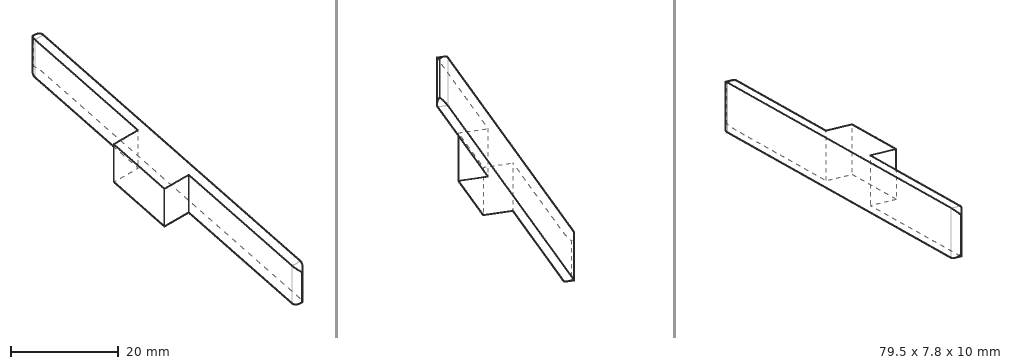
import cadquery as cq
import math

flat_length = 76.0
plate_thickness = 2.0
height = 10.0
end_radius = 2.0
block_width = 15.0
block_depth = 5.8

half_flat = flat_length / 2
half_thickness = plate_thickness / 2
end_drop = half_thickness
end_length = math.sqrt(end_radius**2 - (end_radius - end_drop)**2)
half_length = half_flat + end_length


def tapered_profile(plane, half_width):
    """Closed plate outline whose long sides curve inward at both ends."""
    half_tip = half_width - end_drop
    arc_centre = half_width - end_radius
    half_sweep = math.asin(end_length / end_radius) / 2
    mid_x = half_flat + end_radius * math.sin(half_sweep)
    mid_offset = arc_centre + end_radius * math.cos(half_sweep)

    outline = cq.Workplane(plane).moveTo(-half_flat, half_width).lineTo(half_flat, half_width)
    outline = outline.threePointArc((mid_x, mid_offset), (half_length, half_tip))
    if half_tip > 0:
        outline = outline.lineTo(half_length, -half_tip)
    outline = outline.threePointArc((mid_x, -mid_offset), (half_flat, -half_width))
    outline = outline.lineTo(-half_flat, -half_width)
    outline = outline.threePointArc((-mid_x, -mid_offset), (-half_length, -half_tip))
    if half_tip > 0:
        outline = outline.lineTo(-half_length, half_tip)
    outline = outline.threePointArc((-mid_x, mid_offset), (-half_flat, half_width))
    return outline.close()


def make_plate():
    """Plate centred on the origin, its ends rounded both across Y and across Z."""
    plan_body = tapered_profile("XY", half_thickness).extrude(height / 2, both=True)
    elevation_body = tapered_profile("XZ", height / 2).extrude(plate_thickness, both=True)
    return plan_body.intersect(elevation_body)


def make_block():
    """Block standing out from the middle of the plate's front face, rooted at the plate's mid-plane."""
    root_depth = block_depth + half_thickness
    return cq.Workplane("XY").box(block_width, root_depth, height).translate((0, -root_depth / 2, 0))


result = make_plate().union(make_block())